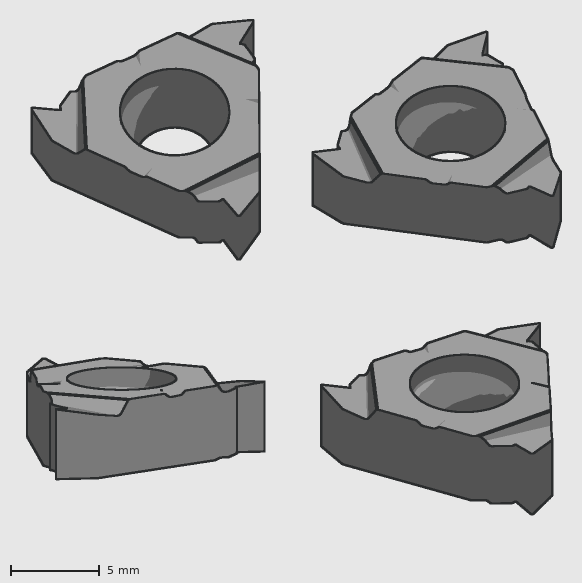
import cadquery as cq
import math


overall_y = 13.95
thickness = 4.27
inscribed_diameter = 9.53
flat_distance = inscribed_diameter / 2
tooth_count = 3
tooth_step = 360 / tooth_count

tip_x = -3.56
tip_radius = 0.1
flank_half_angle = math.radians(30)
shoulder_y = 6.0
shoulder_start_x = -2.48
shoulder_end_x = -1.28
relief_y = 5.62
step_angle = math.radians(60)
root_angle = math.radians(45)
root_radius = 0.04
shoulder_radius = 0.17
step_radius = 0.14
step_foot_radius = 0.28
side_radius = 0.21

rake_angle = 10.0
tip_edge_height = 4.0
groove_yaw = 29.0
groove_wall_y = 3.67
groove_wall_angle = math.radians(68)
groove_radius = 0.3
groove_reach = 8.37
land_yaw = 32.0
land_start_y = 2.96
land_reach = 0.42
land_angle = math.radians(24)

notch_yaw = -13.3
notch_ramp = 10.0
notch_end_x = -3.47
notch_end_y = -0.55
notch_floor_width = 0.81
notch_wall_angle = math.radians(38)
notch_radius = 0.28
notch_rim_radius = 0.14
notch_length = 2.23
notch_height = 0.84

bore_diameter = 4.4
counterbore_diameter = 6.15
counterbore_depth = 1.02
counterbore_taper = math.radians(5)
seat_radius = 4.18
seat_blend_radius = 0.42


def rounded_outline(corners):
    """Closed wire through (x, y, radius) corners, each one rounded by a tangent arc."""
    wire = None
    for i, (x, y, radius) in enumerate(corners):
        corner = cq.Vector(x, y)
        before = cq.Vector(*corners[i - 1][:2])
        after = cq.Vector(*corners[(i + 1) % len(corners)][:2])
        to_before = (before - corner).normalized()
        to_after = (after - corner).normalized()
        half_angle = to_before.getAngle(to_after) / 2
        tangent = radius / math.tan(half_angle)
        bisector = (to_before + to_after).normalized()
        middle = corner + bisector * (radius / math.sin(half_angle) - radius)
        arc_start = corner + to_before * tangent
        arc_end = corner + to_after * tangent
        if wire is None:
            wire = cq.Workplane("XY").moveTo(arc_start.x, arc_start.y)
        else:
            wire = wire.lineTo(arc_start.x, arc_start.y)
        wire = wire.threePointArc((middle.x, middle.y), (arc_end.x, arc_end.y))
    return wire.close()


def turned(x, y, degrees):
    angle = math.radians(degrees)
    return (
        x * math.cos(angle) - y * math.sin(angle),
        x * math.sin(angle) + y * math.cos(angle),
    )


step_radians = math.radians(tooth_step)
tip_y = (overall_y - 2 * tip_radius + tip_x * math.sin(step_radians)) / (1 - math.cos(step_radians))
apex_y = tip_y + tip_radius / math.sin(flank_half_angle)
flank_slope = 1 / math.tan(flank_half_angle)


def tooth_corners():
    """Corners (x, y, radius) of one third of the outline, clockwise from the -X side."""
    root_slope = math.tan(root_angle)
    root_x = (apex_y + flank_slope * tip_x - shoulder_y + root_slope * shoulder_start_x) / (
        flank_slope + root_slope
    )
    root_y = apex_y - flank_slope * (root_x - tip_x)
    step_foot_x = shoulder_end_x + (shoulder_y - relief_y) / math.tan(step_angle)
    next_side = math.radians(180 - tooth_step)
    relief_end_x = (flat_distance - relief_y * math.sin(next_side)) / math.cos(next_side)
    return [
        (-flat_distance, apex_y - flank_slope * (tip_x + flat_distance), side_radius),
        (tip_x, apex_y, tip_radius),
        (root_x, root_y, root_radius),
        (shoulder_start_x, shoulder_y, shoulder_radius),
        (shoulder_end_x, shoulder_y, step_radius),
        (step_foot_x, relief_y, step_foot_radius),
        (relief_end_x, relief_y, side_radius),
    ]


def make_body():
    corners = []
    for i in range(tooth_count):
        for x, y, radius in tooth_corners():
            corners.append((*turned(x, y, -i * tooth_step), radius))
    return rounded_outline(corners).extrude(thickness)


def make_groove_cutter():
    """Prism running along the groove: rake face, rounded corner and wall."""
    rake = math.radians(rake_angle)
    yaw = math.radians(groove_yaw)
    run = cq.Vector(math.cos(yaw), math.sin(yaw), math.sin(yaw) * math.tan(rake))
    rake_normal = cq.Vector(0, -math.sin(rake), math.cos(rake))
    outward = rake_normal.cross(run)
    top_edge_y = tip_y + tip_radius
    corner_z = tip_edge_height - (top_edge_y - groove_wall_y) * math.tan(rake)
    plane = cq.Plane(
        origin=(-flat_distance, groove_wall_y, corner_z), xDir=outward, normal=run
    )
    wall_height = thickness
    wall_run = wall_height / math.tan(groove_wall_angle)
    tangent = groove_radius * math.tan(groove_wall_angle / 2)
    rise = tangent * math.sin(groove_wall_angle)
    back = tangent * math.cos(groove_wall_angle)
    middle = (
        tangent - groove_radius * math.sin(groove_wall_angle / 2),
        groove_radius * (1 - math.cos(groove_wall_angle / 2)),
    )
    return (
        cq.Workplane(plane)
        .moveTo(groove_reach, 0)
        .lineTo(tangent, 0)
        .threePointArc(middle, (-back, rise))
        .lineTo(-wall_run, wall_height)
        .lineTo(groove_reach, wall_height)
        .close()
        .extrude(groove_reach, both=True)
    )


def make_land_cutter():
    """Wedge that slopes the top face down slightly along the groove wall."""
    yaw = math.radians(land_yaw)
    plane = cq.Plane(
        origin=(-flat_distance, land_start_y, thickness),
        xDir=(-math.sin(yaw), math.cos(yaw), 0),
        normal=(math.cos(yaw), math.sin(yaw), 0),
    )
    return (
        cq.Workplane(plane)
        .polyline([(0, 0), (land_reach, 0), (land_reach, -land_reach * math.tan(land_angle))])
        .close()
        .extrude(groove_reach, both=True)
    )


def make_notch_cutter():
    """Flared trough that starts at the top face and ramps down towards the -X side."""
    flare = notch_height / math.tan(notch_wall_angle)
    half_floor = notch_floor_width / 2
    trough = (
        cq.Workplane("YZ")
        .polyline(
            [
                (-half_floor, 0),
                (half_floor, 0),
                (half_floor + flare, notch_height),
                (-half_floor - flare, notch_height),
            ]
        )
        .close()
        .extrude(notch_length, both=True)
        .edges("|X and <Z")
        .fillet(notch_radius)
    )
    return (
        trough.rotate((0, 0, 0), (0, 1, 0), -notch_ramp)
        .rotate((0, 0, 0), (0, 0, 1), notch_yaw)
        .translate((notch_end_x, notch_end_y, thickness))
    )


def make_hole_cutter():
    """Counterbore, concave blend, convex seat and bore as one turned shape."""
    bore_radius = bore_diameter / 2
    top_radius = counterbore_diameter / 2
    wall_end_radius = top_radius - counterbore_depth * math.tan(counterbore_taper)
    lean = math.acos(
        (seat_blend_radius * math.cos(counterbore_taper) + seat_radius - wall_end_radius + bore_radius)
        / (seat_blend_radius + seat_radius)
    )
    wall_end_z = thickness - counterbore_depth
    blend_end_z = wall_end_z - seat_blend_radius * (math.sin(lean) - math.sin(counterbore_taper))
    seat_bottom_z = blend_end_z - seat_radius * math.sin(lean)

    def blend_point(angle):
        return (
            wall_end_radius - seat_blend_radius * (math.cos(counterbore_taper) - math.cos(angle)),
            wall_end_z - seat_blend_radius * (math.sin(angle) - math.sin(counterbore_taper)),
        )

    def seat_point(angle):
        return (
            bore_radius + seat_radius * (1 - math.cos(angle)),
            seat_bottom_z + seat_radius * math.sin(angle),
        )

    return (
        cq.Workplane("XZ")
        .moveTo(0, thickness)
        .lineTo(top_radius, thickness)
        .lineTo(wall_end_radius, wall_end_z)
        .threePointArc(blend_point((counterbore_taper + lean) / 2), blend_point(lean))
        .threePointArc(seat_point(lean / 2), seat_point(0))
        .lineTo(bore_radius, 0)
        .lineTo(0, 0)
        .close()
        .revolve(360, (0, 0, 0), (0, 1, 0))
    )


def cut_notch(body):
    """Cut the notch of the -X side and round its rim on the top face."""
    margin = 0.14
    rim_tolerance = 0.01
    rim = cq.selectors.BoxSelector(
        (-flat_distance - margin, notch_end_y - notch_floor_width, thickness - rim_tolerance),
        (notch_end_x + margin, notch_end_y + notch_floor_width, thickness + rim_tolerance),
    )
    return body.cut(make_notch_cutter()).edges(rim).fillet(notch_rim_radius)


result = make_body().cut(make_hole_cutter())
for _ in range(tooth_count):
    result = result.cut(make_groove_cutter()).cut(make_land_cutter())
    result = cut_notch(result).rotate((0, 0, 0), (0, 0, 1), tooth_step)